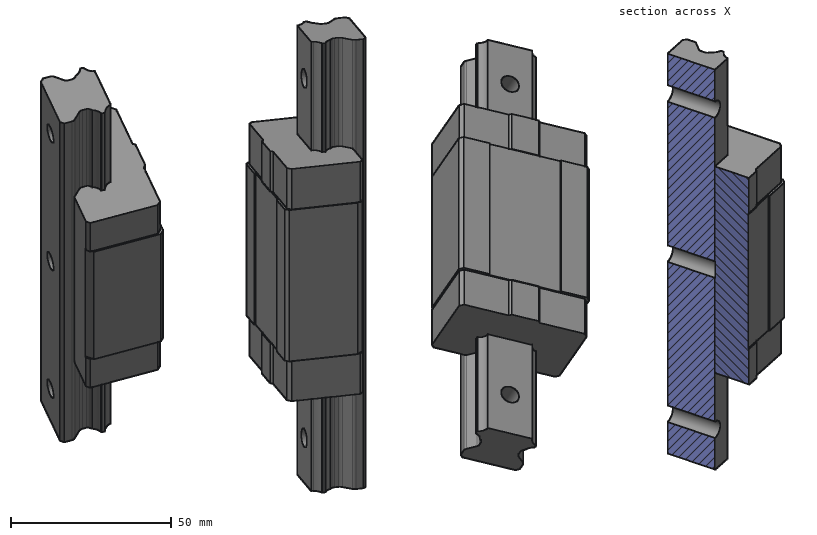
import cadquery as cq


RAIL_LENGTH = 150.0
RAIL_HEIGHT = 17.4
RAIL_WIDTH = 20.0
RAIL_BASE_CHAMFER = 1.0
FOOT_HEIGHT = 4.2
NECK_HALF = 6.6
NECK_FILLET = 1.5
FOOT_FILLET = 1.5
HEAD_CENTER_Y = 14.0
LIP_HALF = 0.5
GROOVE_OUTER_X = 9.8
GROOVE_INNER_X = 7.6
GROOVE_SAG = 0.3
RAIL_TOP_HALF = 7.5
SELECT_MARGIN = 0.08

HOLE_DIAMETER = 6.0
HOLE_PITCH = 60.0
HOLE_COUNT = 3

TOTAL_HEIGHT = 30.0
CARRIAGE_BOTTOM = 4.5
CARRIAGE_LENGTH = 77.5

BLOCK_WIDTH = 44.0
BLOCK_LENGTH = 50.5
BLOCK_TOP_CHAMFER = 1.2
BLOCK_BOTTOM_CHAMFER = 2.1
RELIEF_WIDTH = 24.0
RELIEF_DEPTH = 0.5

CAP_WIDTH = 43.0
CAP_TOP = 29.1
CAP_TOP_CHAMFER = 1.2
CAP_BOTTOM_CHAMFER = 1.0
RIDGE_TOP = 29.8
RIDGE_TOP_HALF = 4.5


def mirrored(right_side):
    """Close a right-hand chain of points, listed bottom to top, with its mirror image."""
    left_side = [(-x, y) for x, y in reversed(right_side)]
    return right_side + left_side


def centered_extrusion(outline, length):
    """Extrude a closed XY outline along Z, half the length each way."""
    return outline.extrude(length / 2, both=True)


def edges_between(half_width, low_y, high_y):
    """Select the rail edges that lie within a half width and a range of heights."""
    return cq.selectors.BoxSelector(
        (-half_width - SELECT_MARGIN, low_y - SELECT_MARGIN, -RAIL_LENGTH),
        (half_width + SELECT_MARGIN, high_y + SELECT_MARGIN, RAIL_LENGTH),
    )


def groove_cutter(side, direction):
    """Cutter for one ball groove: the circle segment below the 45 degree chord.

    side is the sign of X, direction is +1 for the upper groove and -1 for the lower one.
    """
    edge_rise = GROOVE_OUTER_X - GROOVE_INNER_X
    outer_y = HEAD_CENTER_Y + direction * (RAIL_WIDTH / 2 + LIP_HALF - GROOVE_OUTER_X)
    inner_y = outer_y + direction * edge_rise
    sag_step = GROOVE_SAG / 2 ** 0.5
    middle_x = (GROOVE_OUTER_X + GROOVE_INNER_X) / 2 - sag_step
    middle_y = (outer_y + inner_y) / 2 - direction * sag_step
    segment = (
        cq.Workplane("XY")
        .moveTo(side * GROOVE_OUTER_X, outer_y)
        .threePointArc((side * middle_x, middle_y), (side * GROOVE_INNER_X, inner_y))
        .close()
    )
    return centered_extrusion(segment, RAIL_LENGTH)


def make_rail_bar():
    """Rail without its mounting holes."""
    half = RAIL_WIDTH / 2
    neck_run = half - NECK_HALF
    lip_top = HEAD_CENTER_Y + LIP_HALF
    lip_bottom = HEAD_CENTER_Y - LIP_HALF
    neck_bottom = FOOT_HEIGHT + neck_run
    neck_top = lip_bottom - neck_run
    shoulder_y = lip_top + half - GROOVE_INNER_X
    right_side = [
        (half - RAIL_BASE_CHAMFER, 0),
        (half, RAIL_BASE_CHAMFER),
        (half, FOOT_HEIGHT),
        (NECK_HALF, neck_bottom),
        (NECK_HALF, neck_top),
        (half, lip_bottom),
        (half, lip_top),
        (GROOVE_INNER_X, shoulder_y),
        (RAIL_TOP_HALF, RAIL_HEIGHT),
    ]
    bar = centered_extrusion(cq.Workplane("XY").polyline(mirrored(right_side)).close(), RAIL_LENGTH)

    foot_edges = edges_between(half, FOOT_HEIGHT, FOOT_HEIGHT)
    bar = bar.edges("|Z").edges(foot_edges).fillet(FOOT_FILLET)
    neck_edges = edges_between(NECK_HALF, neck_bottom, neck_top)
    bar = bar.edges("|Z").edges(neck_edges).fillet(NECK_FILLET)

    for side in (-1, 1):
        for direction in (-1, 1):
            bar = bar.cut(groove_cutter(side, direction))
    return bar


def drill_rail(bar):
    """Drill the row of mounting holes through the height of the rail."""
    holes = (
        cq.Workplane("XZ")
        .rarray(1.5, HOLE_PITCH, 1, HOLE_COUNT)
        .circle(HOLE_DIAMETER / 2)
        .extrude(-RAIL_HEIGHT)
    )
    return bar.cut(holes)


def make_middle_block():
    """Wide middle part of the carriage with two raised pads on top."""
    half = BLOCK_WIDTH / 2
    relief_y = TOTAL_HEIGHT - RELIEF_DEPTH
    right_side = [
        (half - BLOCK_BOTTOM_CHAMFER, CARRIAGE_BOTTOM),
        (half, CARRIAGE_BOTTOM + BLOCK_BOTTOM_CHAMFER),
        (half, TOTAL_HEIGHT - BLOCK_TOP_CHAMFER),
        (half - BLOCK_TOP_CHAMFER, TOTAL_HEIGHT),
        (RELIEF_WIDTH / 2, TOTAL_HEIGHT),
        (RELIEF_WIDTH / 2, relief_y),
    ]
    return centered_extrusion(cq.Workplane("XY").polyline(mirrored(right_side)).close(), BLOCK_LENGTH)


def make_end_cap(end):
    """Narrower end of the carriage with a low ridge on top; end is the sign of Z."""
    half = CAP_WIDTH / 2
    ridge_base_half = RIDGE_TOP_HALF + RIDGE_TOP - CAP_TOP
    cap_length = (CARRIAGE_LENGTH - BLOCK_LENGTH) / 2
    right_side = [
        (half - CAP_BOTTOM_CHAMFER, CARRIAGE_BOTTOM),
        (half, CARRIAGE_BOTTOM + CAP_BOTTOM_CHAMFER),
        (half, CAP_TOP - CAP_TOP_CHAMFER),
        (half - CAP_TOP_CHAMFER, CAP_TOP),
        (ridge_base_half, CAP_TOP),
        (RIDGE_TOP_HALF, RIDGE_TOP),
    ]
    return (
        cq.Workplane("XY")
        .workplane(offset=end * BLOCK_LENGTH / 2)
        .polyline(mirrored(right_side))
        .close()
        .extrude(end * cap_length)
    )


def make_carriage(rail_bar):
    """Middle block and end caps in one piece, with a channel that matches the rail."""
    carriage = make_middle_block()
    for end in (-1, 1):
        carriage = carriage.union(make_end_cap(end))
    return carriage.cut(rail_bar)


rail_bar = make_rail_bar()
rail = drill_rail(rail_bar)
carriage = make_carriage(rail_bar)

result = cq.Compound.makeCompound([rail.val(), carriage.val()])